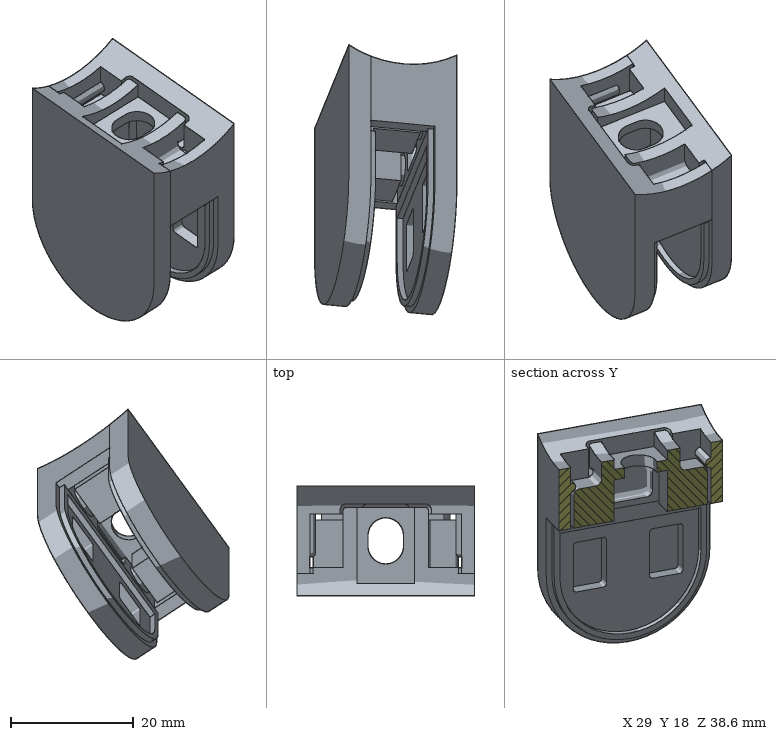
import cadquery as cq
import math

WIDTH = 29.0
DEPTH = 18.0
HEIGHT = 38.6
FRONT = -DEPTH / 2
BACK = DEPTH / 2
JAW_RADIUS = WIDTH / 2
JAW_CENTER_Z = JAW_RADIUS
SADDLE_RADIUS = 17.0

JAW_THICKNESS = 3.65
JAW_FACE = DEPTH / 2 - JAW_THICKNESS
SLOT_TOP = 24.95

PAD_THICKNESS = 0.95
PAD_FACE = JAW_FACE - PAD_THICKNESS
PAD_INSET = 1.0
PAD_RIM = 1.0
PAD_OPENING_TOP = 22.27
FRONT_PAD_TOP = 23.55
BACK_PAD_TOP = SLOT_TOP

CAVITY_HALF_WIDTH = 12.4
CAVITY_BACK = PAD_FACE

RECESS_FLOOR = 6.02
RECESS_HALF_WIDTH = 7.45
RECESS_LEDGE_Z = 31.2
CHANNEL_HALF_WIDTH = 3.9
CHANNEL_BOTTOM = 26.0
RECESS_CORNER = 1.0
RECESS_FLOOR_FILLET = 0.95

WINDOW_INNER_X = 3.82
WINDOW_WIDTH = 5.85
WINDOW_BOTTOM = 10.65
WINDOW_HEIGHT = 8.95
WINDOW_DEPTH = 2.05
WINDOW_CORNER = 0.58

STOP_X = 8.0
STOP_Z = 28.68
STOP_RADIUS = 2.5

ROD_RADIUS = 0.93
ROD_Z = 32.35
ROD_FRONT = -2.62
ROD_END_FILLET = 0.65

TONGUE_HALF_WIDTH = 11.85
BLOCK_HALF_WIDTH = 7.0
BLOCK_BACK = 5.5
BLOCK_CORNER = 0.6
BLOCK_BOTTOM_FILLET = 1.0
POCKET_HALF_WIDTH = 4.67
POCKET_FRONT = -7.0
POCKET_FLOOR = 34.3
FLOOR_THICKNESS = 1.95
BOLT_SLOT_WIDTH = 5.75
BOLT_SLOT_LENGTH = 7.5

HOOK_BACK = 3.45
HOOK_TOP = 31.92
HOOK_FILLET = 1.0


def box(x_min, x_max, y_min, y_max, z_min, z_max):
    """Axis-aligned box given by its limits."""
    size = (x_max - x_min, y_max - y_min, z_max - z_min)
    return cq.Workplane("XY").box(*size, centered=False).translate((x_min, y_min, z_min))


def rounded_plate(radius, top, y_min, y_max):
    """Plate with a half-round lower end and a flat top, standing in the XZ plane."""
    return (
        cq.Workplane("XZ", origin=(0, y_max, 0))
        .moveTo(-radius, top)
        .lineTo(-radius, JAW_CENTER_Z)
        .threePointArc((0, JAW_CENTER_Z - radius), (radius, JAW_CENTER_Z))
        .lineTo(radius, top)
        .close()
        .extrude(y_max - y_min)
    )


def rod_along_y(x, z, radius, y_min, y_max):
    """Cylinder along Y."""
    return cq.Workplane("XZ", origin=(x, y_max, z)).circle(radius).extrude(y_max - y_min)


def saddle_cutter():
    """Cylinder along X whose surface passes through both upper long edges."""
    axis_z = HEIGHT + math.sqrt(SADDLE_RADIUS**2 - (DEPTH / 2) ** 2)
    return (
        cq.Workplane("YZ", origin=(-WIDTH, 0, axis_z))
        .circle(SADDLE_RADIUS)
        .extrude(2 * WIDTH)
    )


def recess_cutter():
    """Stepped recess: wide above the ledge, a narrower channel below it."""
    wide = box(-RECESS_HALF_WIDTH, RECESS_HALF_WIDTH, CAVITY_BACK, RECESS_FLOOR, RECESS_LEDGE_Z, HEIGHT)
    channel = box(-CHANNEL_HALF_WIDTH, CHANNEL_HALF_WIDTH, CAVITY_BACK, RECESS_FLOOR, CHANNEL_BOTTOM, HEIGHT)
    profile = wide.union(channel)
    side_edges = profile.edges("|Y").edges("not(>Z)")
    rounded = side_edges.fillet(RECESS_CORNER)
    floor_edges = rounded.faces(">Y").edges("not >Z")
    return floor_edges.fillet(RECESS_FLOOR_FILLET)


def window_cutter(side):
    """Blind window in the back jaw on one side (-1 or +1)."""
    center_x = side * (WINDOW_INNER_X + WINDOW_WIDTH / 2)
    center_z = WINDOW_BOTTOM + WINDOW_HEIGHT / 2
    return (
        cq.Workplane("XY")
        .box(WINDOW_WIDTH, WINDOW_DEPTH, WINDOW_HEIGHT)
        .edges("|Y")
        .fillet(WINDOW_CORNER)
        .translate((center_x, JAW_FACE + WINDOW_DEPTH / 2, center_z))
    )


def snap_rod(side):
    """Rod on a cavity side wall with a rounded front end."""
    rod = rod_along_y(side * CAVITY_HALF_WIDTH, ROD_Z, ROD_RADIUS, ROD_FRONT, CAVITY_BACK)
    return rod.faces("<Y").edges().fillet(ROD_END_FILLET)


def make_housing():
    """Back jaw, side walls and the cavity between them."""
    housing = rounded_plate(JAW_RADIUS, HEIGHT, JAW_FACE, BACK)
    head = box(-WIDTH / 2, WIDTH / 2, -JAW_FACE, JAW_FACE, SLOT_TOP, HEIGHT)
    cavity = box(-CAVITY_HALF_WIDTH, CAVITY_HALF_WIDTH, -JAW_FACE, CAVITY_BACK, SLOT_TOP, HEIGHT)
    housing = housing.union(head.cut(cavity))
    housing = housing.cut(recess_cutter())
    for side in (-1, 1):
        housing = housing.cut(window_cutter(side))
        housing = housing.union(snap_rod(side))
        housing = housing.union(rod_along_y(side * STOP_X, STOP_Z, STOP_RADIUS, HOOK_BACK, CAVITY_BACK))
    return housing.cut(saddle_cutter())


def snap_hook(side):
    """Hook beside the block, with a concave fillet where it joins the block."""
    outline = (
        cq.Workplane("XZ", origin=(0, HOOK_BACK, 0))
        .moveTo(POCKET_HALF_WIDTH, SLOT_TOP)
        .lineTo(TONGUE_HALF_WIDTH, SLOT_TOP)
        .lineTo(TONGUE_HALF_WIDTH, HOOK_TOP - HOOK_FILLET)
        .radiusArc((TONGUE_HALF_WIDTH - HOOK_FILLET, HOOK_TOP), -HOOK_FILLET)
        .lineTo(BLOCK_HALF_WIDTH + HOOK_FILLET, HOOK_TOP)
        .radiusArc((BLOCK_HALF_WIDTH, HOOK_TOP + HOOK_FILLET), HOOK_FILLET)
        .lineTo(BLOCK_HALF_WIDTH, POCKET_FLOOR)
        .lineTo(POCKET_HALF_WIDTH, POCKET_FLOOR)
        .close()
    )
    hook_length = HOOK_BACK + PAD_FACE
    hook = outline.extrude(hook_length)
    if side < 0:
        hook = hook.mirror("YZ")
    return hook


def make_cover():
    """Front jaw with the block and the snap hooks that reach into the housing."""
    floor_bottom = POCKET_FLOOR - FLOOR_THICKNESS
    cover = rounded_plate(JAW_RADIUS, HEIGHT, FRONT, -JAW_FACE)
    tongue = box(-TONGUE_HALF_WIDTH, TONGUE_HALF_WIDTH, -JAW_FACE, -PAD_FACE, FRONT_PAD_TOP, HEIGHT)
    block = box(-BLOCK_HALF_WIDTH, BLOCK_HALF_WIDTH, -PAD_FACE, BLOCK_BACK, floor_bottom, HEIGHT)
    block = block.edges("|Z and >Y").fillet(BLOCK_CORNER)
    block = block.edges("|Y and <Z").fillet(BLOCK_BOTTOM_FILLET)
    cover = cover.union(tongue).union(block)
    for side in (-1, 1):
        cover = cover.union(snap_hook(side))
    pocket = box(-POCKET_HALF_WIDTH, POCKET_HALF_WIDTH, POCKET_FRONT, BLOCK_BACK, POCKET_FLOOR, HEIGHT)
    bolt_slot = (
        cq.Workplane("XY", origin=(0, 0, floor_bottom))
        .slot2D(BOLT_SLOT_LENGTH, BOLT_SLOT_WIDTH, 90)
        .extrude(FLOOR_THICKNESS)
    )
    return cover.cut(pocket).cut(bolt_slot).cut(saddle_cutter())


def make_pad(y_min, top):
    """Gasket ring that follows the jaw outline."""
    radius = JAW_RADIUS - PAD_INSET
    y_max = y_min + PAD_THICKNESS
    ring = rounded_plate(radius, top, y_min, y_max)
    opening = rounded_plate(radius - PAD_RIM, PAD_OPENING_TOP, y_min, y_max)
    return ring.cut(opening)


housing = make_housing()
cover = make_cover()
pads = [
    make_pad(-JAW_FACE, FRONT_PAD_TOP),
    make_pad(PAD_FACE, BACK_PAD_TOP),
]

result = cq.Compound.makeCompound([housing.val(), cover.val(), *[pad.val() for pad in pads]])